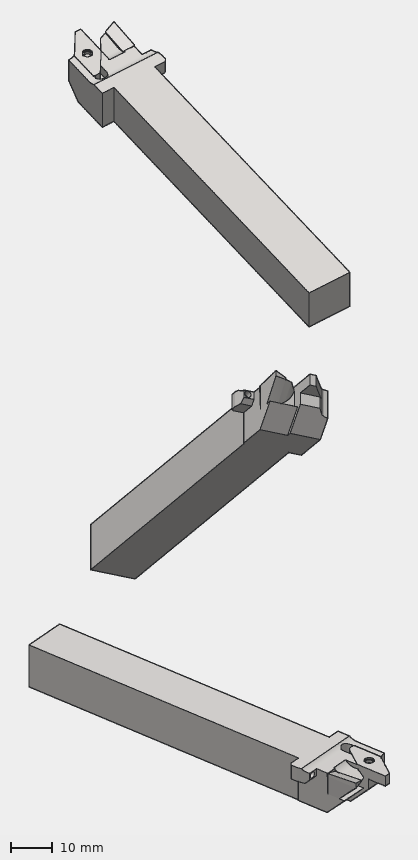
import cadquery as cq

length = 103.3
height = 12.0
shank_front, shank_back = 3.4, 15.4
head_end = 20.9
deck = 11.3
head_back = 15.6

step_start, step_end = 15.2, 17.4

wing_bottom = 8.1
wing_back = 19.0
port_y, port_z = 17.3, 10.3
port_diameter = 1.7
port_depth = 2.1
wing_chamfer = 1.2

front_relief_foot = 10.6

insert_bottom = 8.5
insert_top = 11.4
insert_back = 8.2
insert_front = 1.9
corner_x, corner_y, corner_radius = 15.1, 3.6, 1.7
corner_slot_start = 12.2
screw_x, screw_y = 7.4, 5.0
screw_diameter, socket_diameter = 2.5, 1.8
screw_recess, socket_depth = 0.4, 1.2

jaw_back = 15.8
jaw_ridge = 12.7
jaw_tip = 3.0
jaw_land_bottom = 10.5
jaw_root = 5.4
lower_nose = 6.6
rear_relief_foot = lower_nose + jaw_root
throat_end = 8.3
crest_end = 11.8
crest_fall = 0.6
crest_tilt = 0.9
floor_front_z, floor_back_z = 10.6, 10.0
ramp_start, ramp_end = 9.6, 12.2
ramp_radius = 4.1


def prism(points, bottom, top):
    """Upright prism over a plan outline."""
    return cq.Workplane("XY").workplane(offset=bottom).polyline(points).close().extrude(top - bottom)


def block(x0, x1, y0, y1, z0, z1):
    return prism([(x0, y0), (x1, y0), (x1, y1), (x0, y1)], z0, z1)


def along_y(profile, y0, y1):
    """Extrude a closed XZ profile from y0 to y1."""
    return profile.extrude(y0 - y1).translate((0, y0, 0))


def make_head():
    nose_outline = [
        (head_end, 0), (6.6, 0), (6.5, 1.0), (6.2, insert_front), (5.2, 2.9), (5.2, insert_back),
        (lower_nose, insert_back), (lower_nose, head_back), (head_end, head_back),
    ]
    throat = block(0, throat_end, insert_back, head_back, jaw_root, height)
    return prism(nose_outline, 0, height).cut(throat)


def make_wing():
    wing = (
        cq.Workplane("XY").workplane(offset=wing_bottom)
        .moveTo(step_start, head_back - 1)
        .lineTo(step_start, 18.3)
        .lineTo(17.0, 18.7)
        .lineTo(18.6, wing_back)
        .lineTo(20.2, wing_back)
        .lineTo(head_end, 18.4)
        .lineTo(head_end, head_back - 1)
        .close()
        .extrude(height - wing_bottom)
    )
    wing = wing.faces("<X").edges("<Z").chamfer(wing_chamfer)
    port = (
        cq.Workplane("YZ", origin=(step_start, port_y, port_z))
        .circle(port_diameter / 2)
        .extrude(port_depth)
    )
    return wing.cut(port)


def deck_cut():
    """Space above the deck, ending in a concave arc tangent to it."""
    rise = height - deck
    run = step_end - step_start
    radius = (run**2 + rise**2) / (2 * rise)
    profile = (
        cq.Workplane("XZ")
        .moveTo(0, deck)
        .lineTo(step_start, deck)
        .radiusArc((step_end, height), -radius)
        .lineTo(0, height)
        .close()
    )
    return along_y(profile, 0, wing_back)


def nose_relief(foot, y0, y1):
    """45 degree wedge below the nose, leaving the underside at X = foot."""
    profile = cq.Workplane("XZ").polyline([(0, 0), (foot, 0), (0, foot)]).close()
    return along_y(profile, y0, y1)


def make_jaw():
    """Jaw blank with a vertical land above an undercut."""
    rim = [
        (jaw_tip, jaw_back), (3.8, jaw_ridge), (4.5, 10.7), (8.1, 8.3),
        (crest_end, 8.3), (crest_end, jaw_back),
    ]
    root = [
        (throat_end, head_back), (throat_end, jaw_ridge), (9.7, 10.7), (10.7, 8.3),
        (crest_end, 8.3), (crest_end, head_back),
    ]
    undercut = (
        cq.Workplane("XY").workplane(offset=jaw_root).polyline(root).close()
        .workplane(offset=jaw_land_bottom - jaw_root).polyline(rim).close()
        .loft(ruled=True)
    )
    land = prism(rim, jaw_land_bottom, height)
    return undercut.union(land)


def crest_section(back_z):
    """YZ section of the space above the crest."""
    return [
        (jaw_back, back_z), (jaw_ridge, back_z - crest_tilt),
        (jaw_ridge, height + 1), (jaw_back, height + 1),
    ]


def crest_cut():
    """Space above the crest, which falls toward the shank and toward the ridge."""
    return (
        cq.Workplane("YZ", origin=(jaw_tip, 0, 0)).polyline(crest_section(height)).close()
        .workplane(offset=crest_end - jaw_tip).polyline(crest_section(height - crest_fall)).close()
        .loft(ruled=True)
    )


def chip_floor_cut():
    """Space over the chip floor, with the concave ramp up to the deck behind it."""
    profile = (
        cq.Workplane("XZ")
        .moveTo(jaw_tip, floor_front_z)
        .lineTo(ramp_start, floor_back_z)
        .radiusArc((ramp_end, deck), -ramp_radius)
        .lineTo(ramp_end, height)
        .lineTo(jaw_tip, height)
        .close()
    )
    return along_y(profile, insert_back, jaw_ridge)


def corner_cut():
    """Clearance slot around the rear corner of the insert."""
    slot = block(
        corner_slot_start, corner_x, corner_y - corner_radius, corner_y + corner_radius,
        insert_bottom, height,
    )
    end = (
        cq.Workplane("XY", origin=(corner_x, corner_y, insert_bottom))
        .circle(corner_radius)
        .extrude(height - insert_bottom)
    )
    return slot.union(end)


def insert_blank(top):
    outline = [
        (0, insert_back), (0, 6.5), (6.4, insert_front), (14.4, insert_front),
        (14.7, 2.3), (14.5, 3.7), (13.8, 4.3), (8.6, insert_back),
    ]
    return prism(outline, insert_bottom, top)


def screw_disc(diameter, depth):
    return (
        cq.Workplane("XY", origin=(screw_x, screw_y, insert_top - depth))
        .circle(diameter / 2)
        .extrude(depth)
    )


def make_insert():
    """Insert with a recessed screw head and a socket in the screw."""
    screw_ring = screw_disc(screw_diameter, screw_recess)
    return insert_blank(insert_top).cut(screw_ring).cut(screw_disc(socket_diameter, socket_depth))


shank = block(head_end, length, shank_front, shank_back, 0, height)
head = make_head().union(make_wing()).cut(deck_cut())
head = head.cut(nose_relief(front_relief_foot, 0, insert_back))
head = head.cut(nose_relief(rear_relief_foot, insert_back, head_back))
head = head.union(make_jaw()).cut(crest_cut()).cut(chip_floor_cut()).cut(corner_cut())
head = head.cut(insert_blank(height))
result = shank.union(head).union(make_insert())